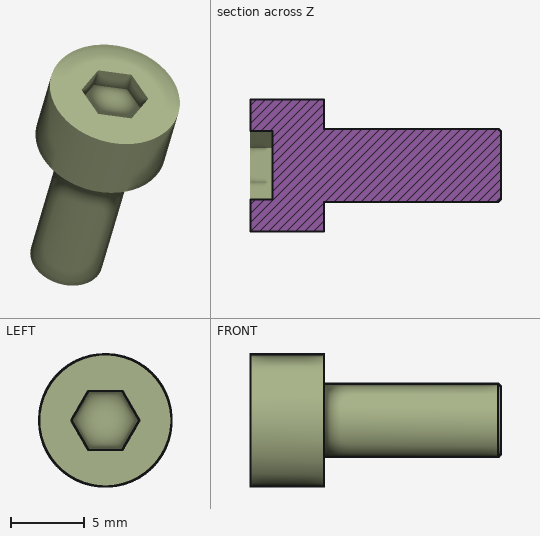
import cadquery as cq
import math

total_length = 17.0
shank_diameter = 5.0
head_diameter = 9.0
head_length = shank_diameter
shank_length = total_length - head_length
tip_chamfer = 0.2

socket_across_flats = 4.0
socket_depth = 1.5
socket_across_corners = socket_across_flats / math.cos(math.radians(30))

head_plane = cq.Workplane("YZ").workplane(offset=-total_length / 2)


def make_head():
    return head_plane.circle(head_diameter / 2).extrude(head_length)


def make_shank():
    shank = head_plane.workplane(offset=head_length).circle(shank_diameter / 2).extrude(shank_length)
    return shank.faces(">X").chamfer(tip_chamfer)


def make_socket():
    return head_plane.polygon(6, socket_across_corners).extrude(socket_depth)


result = make_head().union(make_shank()).cut(make_socket())